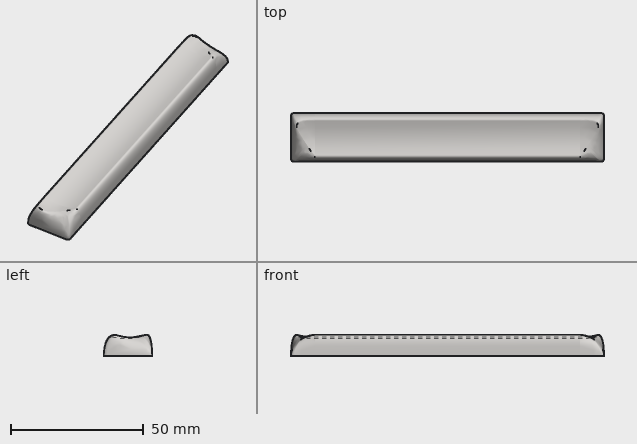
import cadquery as cq

LENGTH = 118.18
WIDTH = 18.4
HALF_LENGTH = LENGTH / 2
HALF_WIDTH = WIDTH / 2
STRAIGHT_HALF_LENGTH = 50.0

CORNER_RADIUS = 1.1
CORNER_INSET = CORNER_RADIUS * (1 - 0.5 ** 0.5)
ROUND_START_X = -HALF_LENGTH + CORNER_RADIUS
ROUND_MIDDLE_X = -HALF_LENGTH + CORNER_INSET
ROUND_MIDDLE_Y = HALF_WIDTH - CORNER_INSET
ROUND_END_Y = HALF_WIDTH - CORNER_RADIUS

WALL_DEGREE = 2
SEAM_TOLERANCE = 0.001

DISH_MIDDLE = (-0.2, 6.7)

BACK_RIB = ((-STRAIGHT_HALF_LENGTH, HALF_WIDTH), 4.3, (0, 1.5, 0.39), (-STRAIGHT_HALF_LENGTH, 6.2, 7.35))
FRONT_RIB = ((-STRAIGHT_HALF_LENGTH, -HALF_WIDTH), 5.2, (0, -1.75, 0.7), (-STRAIGHT_HALF_LENGTH, -6.6, 8.02))
END_RIBS = [
    ((-52.7, HALF_WIDTH), 4.3, (-0.1, 1.5, 0.4), (-52.8, 6.17, 7.35)),
    ((-55.2, HALF_WIDTH), 4.3, (-0.2, 1.5, 0.4), (-54.7, 5.95, 7.55)),
    ((-57.0, HALF_WIDTH), 4.3, (-0.4, 1.5, 0.35), (-55.8, 5.67, 7.8)),
    ((ROUND_START_X, HALF_WIDTH), 4.4, (-0.7, 1.3, 0.3), (-56.35, 5.4, 7.95)),
    ((ROUND_MIDDLE_X, ROUND_MIDDLE_Y), 4.5, (-1.0, 1.0, 0.25), (-56.65, 5.1, 8.03)),
    ((-HALF_LENGTH, ROUND_END_Y), 4.6, (-1.2, 0.7, 0.25), (-56.8, 4.75, 8.03)),
    ((-HALF_LENGTH, 7.2), 4.7, (-1.4, 0.5, 0.3), (-56.88, 4.3, 7.95)),
    ((-HALF_LENGTH, 4.5), 4.8, (-1.5, 0.2, 0.3), (-56.75, 3.4, 7.7)),
    ((-HALF_LENGTH, 1.5), 4.4, (-1.6, -0.2, 0.3), (-56.2, 2.2, 7.4)),
    ((-HALF_LENGTH, -1.5), 4.0, (-1.7, -0.6, 0.3), (-55.5, 1.0, 7.2)),
    ((-HALF_LENGTH, -4.5), 3.6, (-1.8, -1.1, 0.3), (-54.7, -0.3, 7.1)),
    ((-HALF_LENGTH, -7.0), 3.3, (-2.0, -1.8, 0.3), (-53.9, -1.5, 7.11)),
    ((-HALF_LENGTH, -ROUND_END_Y), 3.1, (-2.2, -2.4, 0.3), (-53.4, -2.25, 7.18)),
    ((ROUND_MIDDLE_X, -ROUND_MIDDLE_Y), 3.1, (-2.3, -2.9, 0.3), (-53.0, -2.85, 7.27)),
    ((ROUND_START_X, -HALF_WIDTH), 3.4, (-2.6, -3.5, 0.3), (-52.6, -3.5, 7.38)),
    ((-56.8, -HALF_WIDTH), 3.9, (-2.2, -3.3, 0.4), (-52.1, -4.3, 7.55)),
    ((-55.0, -HALF_WIDTH), 4.5, (-1.5, -2.7, 0.5), (-51.5, -5.2, 7.75)),
    ((-52.5, -HALF_WIDTH), 4.9, (-0.7, -2.2, 0.6), (-50.75, -6.05, 7.92)),
]


def rib_edge(rib):
    """Curve of a wall rib, leaving the bottom upright and meeting the rim along its reach."""
    (x, y), rise, reach, rim = rib
    rim_point = cq.Vector(*rim)
    return cq.Edge.makeBezier([
        cq.Vector(x, y, 0),
        cq.Vector(x, y, rise),
        rim_point + cq.Vector(*reach),
        rim_point,
    ])


def dish_edge():
    """Dish arc of the cross-section where the left end begins."""
    middle = cq.Vector(-STRAIGHT_HALF_LENGTH, *DISH_MIDDLE)
    return cq.Edge.makeThreePointArc(cq.Vector(*FRONT_RIB[-1]), middle, cq.Vector(*BACK_RIB[-1]))


def straight_face(edge):
    """Face that carries a cross-section edge from the left end to the right end."""
    return cq.Face.makeRuledSurface(edge, edge.mirror("YZ"))


def end_wall():
    """Wall that wraps round the left end."""
    ribs = [rib_edge(rib) for rib in [BACK_RIB, *END_RIBS, FRONT_RIB]]
    return cq.occ_impl.shapes.loft(ribs, degree=WALL_DEGREE).faces()


def bottom_face(outline):
    """Flat bottom, bounded by the outlines of both ends and the two long sides."""
    sides = [
        cq.Edge.makeLine(
            cq.Vector(-STRAIGHT_HALF_LENGTH, y, 0), cq.Vector(STRAIGHT_HALF_LENGTH, y, 0)
        )
        for y in (-HALF_WIDTH, HALF_WIDTH)
    ]
    outline_edges = [sides[0], outline.mirror("YZ"), sides[1], outline]
    return cq.Face.makeFromWires(cq.Wire.assembleEdges(outline_edges))


wall = end_wall()
wall_edges = sorted(wall.Edges(), key=lambda edge: edge.Center().z)
bottom_outline = wall_edges[0]
rim = wall_edges[-1]
dish = dish_edge()
dish_end = cq.Face.makeNSidedSurface([dish, rim], [])

faces = [straight_face(edge) for edge in (rib_edge(BACK_RIB), dish, rib_edge(FRONT_RIB))]
for face in (wall, dish_end):
    faces += [face, face.mirror("YZ")]
faces.append(bottom_face(bottom_outline))

shell = cq.occ_impl.shapes.shell(faces, tol=SEAM_TOLERANCE)
result = cq.Workplane(obj=cq.Solid.makeSolid(shell))